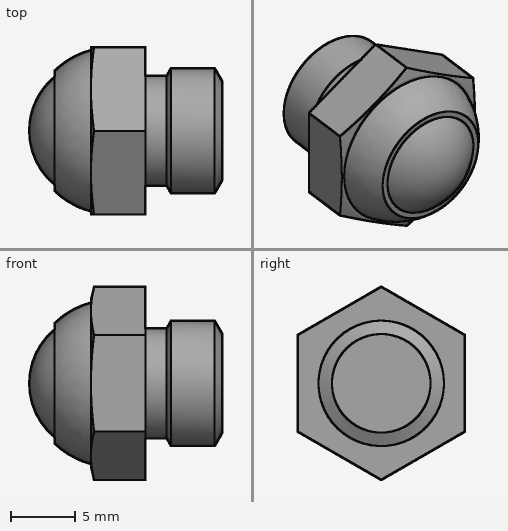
import cadquery as cq
import math

hex_corner_radius = 7.5
hex_flat_radius = hex_corner_radius * math.cos(math.pi / 6)
hex_start = 4.8
hex_end = 9.02
hex_chamfer_depth = 0.24

cap_height = 1.98
cap_base_radius = 4.18
dome_top_radius = 4.66
dome_base_radius = 6.27
dome_sphere_radius = 6.5

neck_radius = 8.56 / 2
thread_radius = 9.74 / 2
thread_start = 10.68
thread_lead_in = 0.33
total_length = 15.0
end_chamfer_length = 0.6
end_face_radius = 3.82


def arc_middle(start, end, radius):
    """Middle of the outward-bulging arc of given radius between two profile points."""
    chord_x = end[0] - start[0]
    chord_r = end[1] - start[1]
    chord = math.hypot(chord_x, chord_r)
    bulge = radius - math.sqrt(radius**2 - (chord / 2) ** 2)
    return (
        (start[0] + end[0]) / 2 - bulge * chord_r / chord,
        (start[1] + end[1]) / 2 + bulge * chord_x / chord,
    )


def revolve_about_x(profile):
    return profile.close().revolve(360, (0, 0, 0), (1, 0, 0))


def make_turned_body():
    """Nose, core through the hexagon, neck and threaded end."""
    tip = (0, 0)
    cap_base = (cap_height, cap_base_radius)
    dome_top = (cap_height, dome_top_radius)
    dome_base = (hex_start, dome_base_radius)
    cap_sphere_radius = (cap_base_radius**2 + cap_height**2) / (2 * cap_height)
    profile = (
        cq.Workplane("XY")
        .moveTo(*tip)
        .threePointArc(arc_middle(tip, cap_base, cap_sphere_radius), cap_base)
        .lineTo(*dome_top)
        .threePointArc(arc_middle(dome_top, dome_base, dome_sphere_radius), dome_base)
        .lineTo(hex_end, dome_base_radius)
        .lineTo(hex_end, neck_radius)
        .lineTo(thread_start, neck_radius)
        .lineTo(thread_start + thread_lead_in, thread_radius)
        .lineTo(total_length - end_chamfer_length, thread_radius)
        .lineTo(total_length, end_face_radius)
        .lineTo(total_length, 0)
    )
    return revolve_about_x(profile)


def make_hexagon():
    """Hexagonal prism with the corners of its nose side chamfered by a cone."""
    corners = [
        (
            hex_corner_radius * math.sin(i * math.pi / 3),
            hex_corner_radius * math.cos(i * math.pi / 3),
        )
        for i in range(6)
    ]
    prism = (
        cq.Workplane("YZ", origin=(hex_start, 0, 0))
        .polyline(corners)
        .close()
        .extrude(hex_end - hex_start)
    )
    cone_slope = (hex_corner_radius - hex_flat_radius) / hex_chamfer_depth
    envelope_radius = hex_flat_radius + cone_slope * (hex_end - hex_start)
    envelope = revolve_about_x(
        cq.Workplane("XY")
        .moveTo(hex_start, 0)
        .lineTo(hex_start, hex_flat_radius)
        .lineTo(hex_end, envelope_radius)
        .lineTo(hex_end, 0)
    )
    return prism.intersect(envelope)


result = make_turned_body().union(make_hexagon())